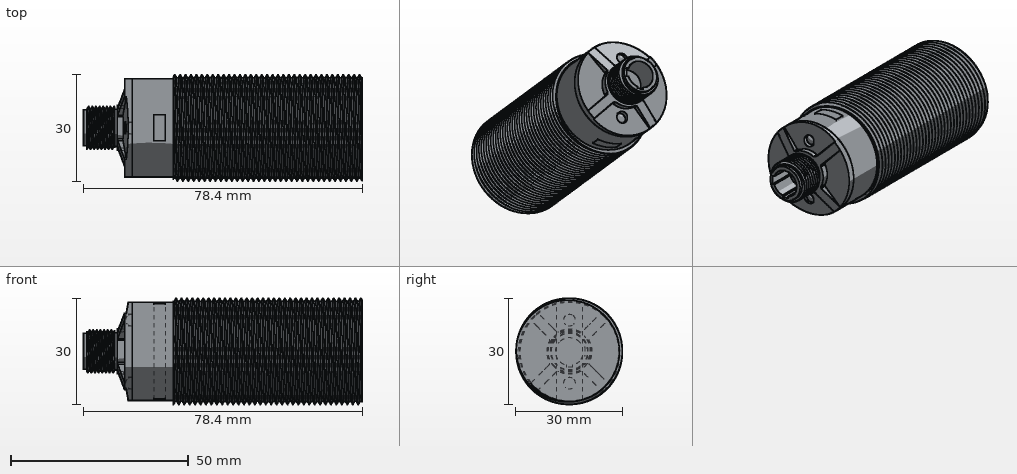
import cadquery as cq
import math

total_length = 78.4
tip_end = 1.0
plug_thread_end = 8.8
cap_start = 9.6
side_face = 11.6
ring_start = 13.8
sleeve_start = 25.2

tip_radius = 5.1
plug_root_radius = 5.25
plug_crest_radius = 6.0
plug_pitch = 1.0
plug_crest_at = 1.25
bore_radius = 3.9
bore_depth = 7.8
key_reach = 4.3
side_key_width = 2.5
bottom_key_width = 1.7

body_radius = 13.9
collar_radius = 6.35
flats_width = 11.1
rib_width = 2.8
sloped_face_edge = 12.6
sloped_face_tilt = 10.0

lamp_offset = 8.85
lamp_radius = 1.65
lamp_tip = 11.8

bar_start = 19.75
bar_length = 3.3
bar_width = 7.4

sleeve_root_radius = 14.1
sleeve_crest_radius = 15.0
sleeve_turns = 34
sleeve_turns_length = 51.95
sleeve_pitch = sleeve_turns_length / sleeve_turns
sleeve_crest_at = 25.3

thread_half_angle = 30.0
thread_embed = 0.1


def cylinder_x(start, end, radius):
    """Cylinder about the X axis between two stations."""
    return cq.Workplane("YZ", origin=(start, 0, 0)).circle(radius).extrude(end - start)


def threaded_rod(start, end, root_radius, crest_radius, pitch, crest_at):
    """Rod about the X axis with a right-hand V thread, cut flat at both stations."""
    first_crest = crest_at - pitch * (1 + math.ceil((crest_at - start) / pitch))
    helix_length = end + pitch - first_crest
    foot_radius = root_radius - thread_embed
    half_foot = (crest_radius - foot_radius) * math.tan(math.radians(thread_half_angle))
    helix = cq.Wire.makeHelix(pitch, helix_length, root_radius)
    ridge = (
        cq.Workplane("XZ")
        .polyline([(foot_radius, -half_foot), (crest_radius, 0), (foot_radius, half_foot)])
        .close()
        .sweep(cq.Workplane(helix), isFrenet=True)
        .rotate((0, 0, 0), (0, 1, 0), 90)
        .translate((first_crest, 0, 0))
    )
    core = cylinder_x(first_crest - pitch, end + 2 * pitch, root_radius)
    envelope = (
        cq.Workplane("YZ", origin=(start, 0, 0))
        .rect(4 * crest_radius, 4 * crest_radius)
        .extrude(end - start)
    )
    return core.union(ridge).intersect(envelope)


def make_connector():
    """Threaded plug with a blind bore and two keyways, toward +Y and toward -Z."""
    thread = threaded_rod(
        tip_end, plug_thread_end, plug_root_radius, plug_crest_radius, plug_pitch, plug_crest_at
    )
    tip = cylinder_x(0, tip_end, tip_radius)
    neck = cylinder_x(plug_thread_end, cap_start, plug_root_radius)
    bore = cylinder_x(0, bore_depth, bore_radius)
    side_key = cq.Workplane("XY").box(
        bore_depth, key_reach, side_key_width, centered=(False, False, True)
    )
    bottom_key = (
        cq.Workplane("XY", origin=(0, 0, -key_reach))
        .box(bore_depth, bottom_key_width, key_reach, centered=(False, True, False))
    )
    return thread.union(tip).union(neck).cut(bore).cut(side_key).cut(bottom_key)


def conical_front():
    """Solid bounded by the cone in front of the collar and the ribs; it meets the side faces at the rim."""
    return (
        cq.Workplane("XZ")
        .polyline([
            (cap_start, 0),
            (cap_start, collar_radius),
            (side_face, body_radius),
            (ring_start, body_radius),
            (ring_start, 0),
        ])
        .close()
        .revolve(360, (0, 0, 0), (1, 0, 0))
    )


def collar_and_ribs():
    """Round collar with flats, and diagonal ribs that run from it to the outside."""
    depth = ring_start - cap_start
    star = cylinder_x(cap_start, ring_start, collar_radius)
    flats = cq.Workplane("YZ", origin=(cap_start, 0, 0)).rect(flats_width, flats_width).extrude(depth)
    star = star.union(flats)
    for angle in (45, 135):
        rib = (
            cq.Workplane("YZ", origin=(cap_start, 0, 0))
            .rect(2 * body_radius, rib_width)
            .extrude(depth)
            .rotate((0, 0, 0), (1, 0, 0), angle)
        )
        star = star.union(rib)
    return star.intersect(conical_front())


def sector_base():
    """Disc behind the ribs: flat toward +Y and -Y, sloped toward +Z and -Z."""
    slope_rise = body_radius * math.tan(math.radians(sloped_face_tilt))
    roof = (
        cq.Workplane("XZ")
        .polyline([
            (ring_start, body_radius),
            (sloped_face_edge, body_radius),
            (sloped_face_edge - slope_rise, 0),
            (sloped_face_edge, -body_radius),
            (ring_start, -body_radius),
        ])
        .close()
        .extrude(body_radius, both=True)
    )
    reach = 2 * body_radius
    wedges = (
        cq.Workplane("YZ", origin=(cap_start, 0, 0))
        .polyline([(0, 0), (reach, reach), (-reach, reach)])
        .close()
        .polyline([(0, 0), (reach, -reach), (-reach, -reach)])
        .close()
        .extrude(ring_start - cap_start)
    )
    flat_disc = cylinder_x(side_face, ring_start, body_radius)
    sloped = roof.intersect(cylinder_x(cap_start, ring_start, body_radius))
    return flat_disc.cut(wedges).union(sloped.intersect(wedges))


def make_cap():
    """Ribbed cap with two through holes for the lamps."""
    cap = collar_and_ribs().union(sector_base())
    for side in (1, -1):
        lamp_hole = cylinder_x(cap_start, ring_start, lamp_radius)
        cap = cap.cut(lamp_hole.translate((0, 0, side * lamp_offset)))
    return cap


def make_lamp(side):
    """Round-nosed lamp that stands in its hole with its flat end on the ring."""
    nose = lamp_radius * math.sqrt(0.5)
    return (
        cq.Workplane("XY")
        .moveTo(lamp_tip, 0)
        .threePointArc((lamp_tip + lamp_radius - nose, nose), (lamp_tip + lamp_radius, lamp_radius))
        .lineTo(ring_start, lamp_radius)
        .lineTo(ring_start, 0)
        .close()
        .revolve(360, (0, 0, 0), (1, 0, 0))
        .translate((0, 0, side * lamp_offset))
    )


def window_stock():
    """Rectangular bar along Z, as tall as the ring."""
    return (
        cq.Workplane("XY", origin=(bar_start, 0, 0))
        .box(bar_length, bar_width, 2 * body_radius, centered=(False, True, True))
    )


def make_ring():
    return cylinder_x(ring_start, sleeve_start, body_radius).cut(window_stock())


def make_window_bar():
    """Bar through the ring whose ends lie flush with the ring's outside."""
    return window_stock().intersect(cylinder_x(ring_start, sleeve_start, body_radius))


def make_sleeve():
    return threaded_rod(
        sleeve_start, total_length, sleeve_root_radius, sleeve_crest_radius, sleeve_pitch, sleeve_crest_at
    )


connector = make_connector()
cap = make_cap()
ring = make_ring()
window_bar = make_window_bar()
sleeve = make_sleeve()
lamps = [make_lamp(side) for side in (1, -1)]

result = cq.Compound.makeCompound([
    connector.val(),
    cap.val(),
    ring.val(),
    window_bar.val(),
    sleeve.val(),
    *[lamp.val() for lamp in lamps],
])